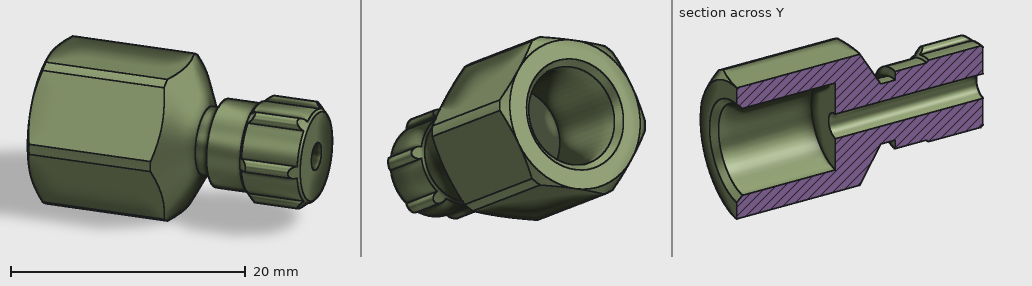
import cadquery as cq
import math

total_length = 23.9
neck_start = 13.98
collar_start = 15.35
knob_start = 18.38

across_flats = 13.0
corner_diameter = 14.5
cone_angle = 60

neck_diameter = 6.0
collar_diameter = 7.7

knob_diameter = 8.13
rib_count = 6
rib_diameter = 1.08
rib_center_radius = 4.13
rib_tip_radius = rib_center_radius + rib_diameter / 2

socket_diameter = 8.55
socket_depth = 9.55
socket_mouth_diameter = 9.68
hole_diameter = 2.4


def cylinder(diameter, start, end):
    """Cylinder on the X axis between two positions."""
    return cq.Workplane("YZ", origin=(start, 0, 0)).circle(diameter / 2).extrude(end - start)


def revolve_profile(points):
    """Solid of revolution about X from (x, radius) points."""
    return cq.Workplane("XY").polyline(points).close().revolve(360, (0, 0, 0), (1, 0, 0))


def make_hex_body():
    vertex_diameter = across_flats / math.cos(math.pi / 6)
    hexagon = cq.Workplane("YZ").polygon(6, vertex_diameter).extrude(neck_start)
    slope = math.tan(math.radians(cone_angle))
    corner_radius = corner_diameter / 2
    front_cone_length = (corner_radius - across_flats / 2) / slope
    rear_cone_length = (corner_radius - neck_diameter / 2) / slope
    envelope = revolve_profile([
        (0, 0),
        (0, across_flats / 2),
        (front_cone_length, corner_radius),
        (neck_start - rear_cone_length, corner_radius),
        (neck_start, neck_diameter / 2),
        (neck_start, 0),
    ])
    return hexagon.intersect(envelope)


def make_knob():
    knob = cylinder(knob_diameter, knob_start, total_length)
    for i in range(rib_count):
        angle = i * 360 / rib_count
        rib = cylinder(rib_diameter, knob_start, total_length).translate((0, rib_center_radius, 0))
        knob = knob.union(rib.rotate((0, 0, 0), (1, 0, 0), angle))
    end_radius = collar_diameter / 2
    bevel = rib_tip_radius - end_radius
    envelope = revolve_profile([
        (knob_start, 0),
        (knob_start, end_radius),
        (knob_start + bevel, rib_tip_radius),
        (total_length - bevel, rib_tip_radius),
        (total_length, end_radius),
        (total_length, 0),
    ])
    return knob.intersect(envelope)


def make_socket():
    mouth_radius = socket_mouth_diameter / 2
    socket_radius = socket_diameter / 2
    return revolve_profile([
        (0, 0),
        (0, mouth_radius),
        (mouth_radius - socket_radius, socket_radius),
        (socket_depth, socket_radius),
        (socket_depth, 0),
    ])


result = (
    make_hex_body()
    .union(cylinder(neck_diameter, neck_start, collar_start))
    .union(cylinder(collar_diameter, collar_start, knob_start))
    .union(make_knob())
    .cut(make_socket())
    .cut(cylinder(hole_diameter, 0, total_length))
)